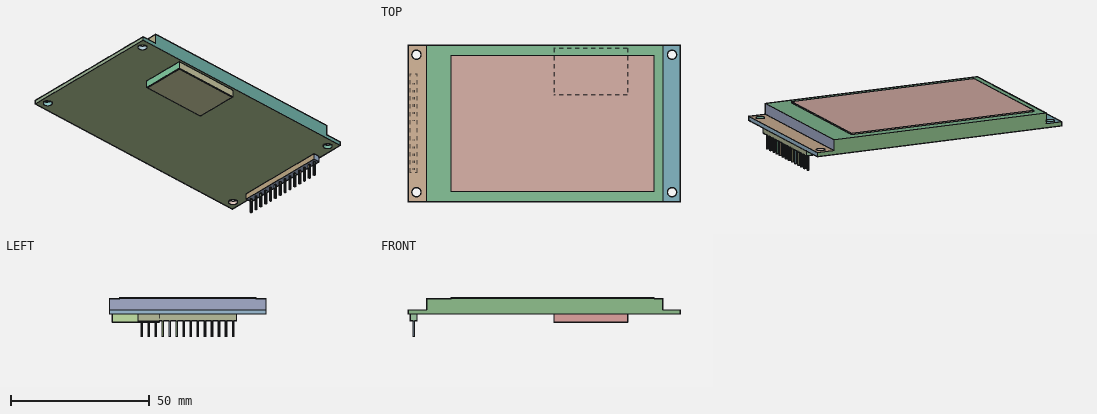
import cadquery as cq

BOARD_LENGTH = 98.1
BOARD_WIDTH = 56.5
BOARD_THICKNESS = 1.6
HOLE_DIAMETER = 3.2
HOLE_SPACING_X = 92.1
HOLE_SPACING_Y = 49.5

FRAME_LEFT_MARGIN = 6.7
FRAME_LENGTH = 85.15
FRAME_HEIGHT = 4.0
SCREEN_LEFT_MARGIN = 15.5
SCREEN_LENGTH = 73.2
SCREEN_WIDTH = 49.1
SCREEN_THICKNESS = 0.5

PIN_COUNT = 14
HEADER_LENGTH = 35.5
PIN_SIDE = 0.6
PIN_LENGTH = 5.7
HEADER_LEFT_MARGIN = 0.74
HEADER_HEIGHT = 2.4
HEADER_CENTER_Y = 0.15

SOCKET_LEFT_MARGIN = 52.5
SOCKET_BACK_MARGIN = 1.0
SOCKET_LENGTH = 26.7
SOCKET_WIDTH = 17.1
SOCKET_HEIGHT = 3.0
SOCKET_CHAMFER = 0.2

PIN_PITCH = HEADER_LENGTH / PIN_COUNT
BOARD_LEFT = -BOARD_LENGTH / 2
BOARD_BACK = BOARD_WIDTH / 2


def block(left, center_y, bottom, length, width, height):
    """Box given by its left X face, its Y centre and its bottom Z face."""
    box = cq.Workplane("XY").box(length, width, height, centered=(False, True, False))
    return box.translate((left, center_y, bottom))


def make_board():
    board = block(BOARD_LEFT, 0, 0, BOARD_LENGTH, BOARD_WIDTH, BOARD_THICKNESS)
    return (
        board.faces(">Z")
        .workplane(origin=(0, 0, 0))
        .rect(HOLE_SPACING_X, HOLE_SPACING_Y, forConstruction=True)
        .vertices()
        .hole(HOLE_DIAMETER)
    )


def make_display():
    frame_left = BOARD_LEFT + FRAME_LEFT_MARGIN
    frame = block(frame_left, 0, BOARD_THICKNESS, FRAME_LENGTH, BOARD_WIDTH, FRAME_HEIGHT)
    screen_left = BOARD_LEFT + SCREEN_LEFT_MARGIN
    screen_bottom = BOARD_THICKNESS + FRAME_HEIGHT
    screen = block(screen_left, 0, screen_bottom, SCREEN_LENGTH, SCREEN_WIDTH, SCREEN_THICKNESS)
    return frame.union(screen)


def make_header():
    left = BOARD_LEFT + HEADER_LEFT_MARGIN
    header = block(left, HEADER_CENTER_Y, -HEADER_HEIGHT, PIN_PITCH, HEADER_LENGTH, HEADER_HEIGHT)
    pin_left = left + (PIN_PITCH - PIN_SIDE) / 2
    pin_bottom = -HEADER_HEIGHT - PIN_LENGTH
    for index in range(PIN_COUNT):
        pin_y = HEADER_CENTER_Y + (index - (PIN_COUNT - 1) / 2) * PIN_PITCH
        header = header.union(block(pin_left, pin_y, pin_bottom, PIN_SIDE, PIN_SIDE, PIN_LENGTH))
    return header


def make_socket():
    left = BOARD_LEFT + SOCKET_LEFT_MARGIN
    center_y = BOARD_BACK - SOCKET_BACK_MARGIN - SOCKET_WIDTH / 2
    socket = block(left, center_y, -SOCKET_HEIGHT, SOCKET_LENGTH, SOCKET_WIDTH, SOCKET_HEIGHT)
    return socket.faces("<Z").edges().chamfer(SOCKET_CHAMFER)


result = make_board().union(make_display()).union(make_header()).union(make_socket())